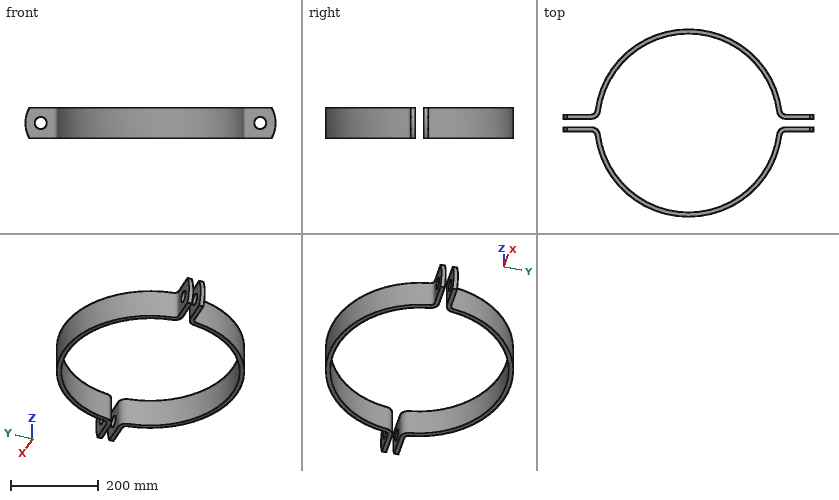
import cadquery as cq
import math

total_length = 570.0
total_depth = 427.0
strap_width = 70.0
strap_thickness = 10.0
ear_gap = 18.0
bend_outer_radius = 20.0
hole_diameter = 27.0
hole_to_tip = 35.5
ear_tip_radius = strap_width

ring_outer = total_depth / 2
ring_inner = ring_outer - strap_thickness
bend_inner_radius = bend_outer_radius - strap_thickness
tip_x = total_length / 2
ear_inner_y = ear_gap / 2
ear_outer_y = ear_inner_y + strap_thickness

bend_y = ear_inner_y + bend_outer_radius
bend_distance = ring_inner + bend_outer_radius
bend_x = math.sqrt(bend_distance**2 - bend_y**2)
bend_end_angle = math.atan2(bend_y, bend_x)
bend_middle_angle = (bend_end_angle + math.pi + 1.5 * math.pi) / 2


def ring_point(radius, side):
    """Point where a ring face meets the bend; side is +1 or -1 along X."""
    return (side * radius * math.cos(bend_end_angle), radius * math.sin(bend_end_angle))


def bend_middle(radius, side):
    """Middle point of a bend face."""
    return (
        side * (bend_x + radius * math.cos(bend_middle_angle)),
        bend_y + radius * math.sin(bend_middle_angle),
    )


def strap_blank():
    """Half ring on the +Y side with its bends and square-ended ears."""
    return (
        cq.Workplane("XY")
        .workplane(offset=-strap_width / 2)
        .moveTo(-tip_x, ear_inner_y)
        .lineTo(-bend_x, ear_inner_y)
        .threePointArc(bend_middle(bend_outer_radius, -1), ring_point(ring_inner, -1))
        .threePointArc((0, ring_inner), ring_point(ring_inner, 1))
        .threePointArc(bend_middle(bend_outer_radius, 1), (bend_x, ear_inner_y))
        .lineTo(tip_x, ear_inner_y)
        .lineTo(tip_x, ear_outer_y)
        .lineTo(bend_x, ear_outer_y)
        .threePointArc(bend_middle(bend_inner_radius, 1), ring_point(ring_outer, 1))
        .threePointArc((0, ring_outer), ring_point(ring_outer, -1))
        .threePointArc(bend_middle(bend_inner_radius, -1), (-bend_x, ear_outer_y))
        .lineTo(-tip_x, ear_outer_y)
        .close()
        .extrude(strap_width)
    )


def rounded_tip_envelope():
    """Block along Y whose X ends are the arcs of the ear tips."""
    half_width = strap_width / 2
    tip_rise = ear_tip_radius - math.sqrt(ear_tip_radius**2 - half_width**2)
    corner_x = tip_x - tip_rise
    return (
        cq.Workplane("XZ")
        .moveTo(-corner_x, -half_width)
        .lineTo(corner_x, -half_width)
        .threePointArc((tip_x, 0), (corner_x, half_width))
        .lineTo(-corner_x, half_width)
        .threePointArc((-tip_x, 0), (-corner_x, -half_width))
        .close()
        .extrude(total_depth / 2, both=True)
    )


def bolt_holes():
    """Cutters for the bolt hole through each ear."""
    hole_x = tip_x - hole_to_tip
    return (
        cq.Workplane("XZ")
        .pushPoints([(-hole_x, 0), (hole_x, 0)])
        .circle(hole_diameter / 2)
        .extrude(ear_outer_y, both=True)
    )


def clamp_half(turn):
    """One half of the pipe clamp, turned about Z by the given angle in degrees."""
    half = strap_blank().intersect(rounded_tip_envelope()).cut(bolt_holes())
    return half.rotate((0, 0, 0), (0, 0, 1), turn)


clamp_halves = [clamp_half(turn).val() for turn in (0, 180)]

result = cq.Compound.makeCompound(clamp_halves)